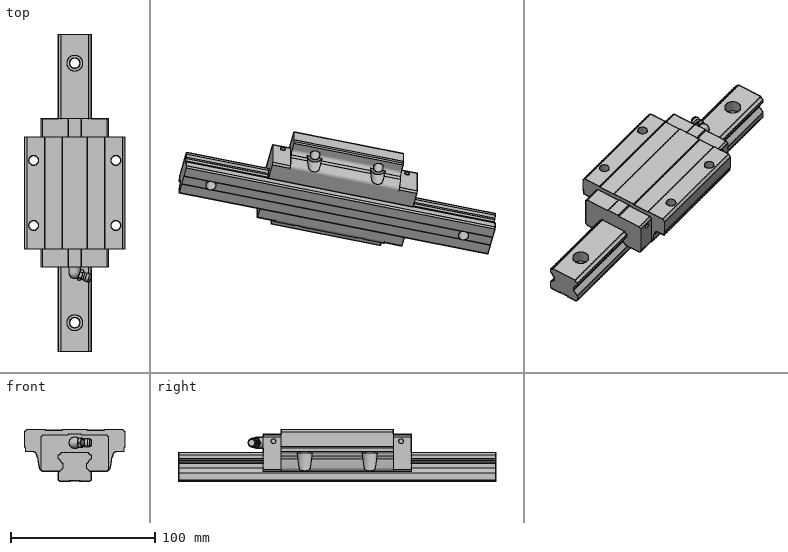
import cadquery as cq
import math


RAIL_LENGTH = 220.0
RAIL_HEIGHT = 20.2
RAIL_WIDTH = 23.0
RAIL_HALF_WIDTH = RAIL_WIDTH / 2
RAIL_TOP_COVE = 2.0
RAIL_NECK_WIDTH = 16.5
RAIL_NECK_HALF_WIDTH = RAIL_NECK_WIDTH / 2
RAIL_LIP_BOTTOM = 15.8
RAIL_RACE_TOP = (10.0, 14.5)
RAIL_RACE_BOTTOM = (9.5, 13.5)
RAIL_NECK_TOP = 12.3
RAIL_NECK_BOTTOM = 9.2
RAIL_BOTTOM_CHAMFER = 1.0
RAIL_BASE_TOP = RAIL_NECK_BOTTOM - (RAIL_HALF_WIDTH - RAIL_NECK_HALF_WIDTH)
RAIL_GROOVE_HALF_WIDTH = 3.3
RAIL_GROOVE_DEPTH = 0.5
RAIL_HOLE_DIAMETER = 7.0
RAIL_COUNTERBORE_DIAMETER = 11.0
RAIL_COUNTERBORE_DEPTH = 9.0
RAIL_HOLE_PITCH = 180.0

TOTAL_HEIGHT = 36.0
CARRIAGE_BOTTOM = 7.0
BLOCK_LENGTH = 77.9
BLOCK_HALF_WIDTH = 35.0
BLOCK_TOP_CHAMFER = 1.8
FLANGE_BOTTOM = 20.7
FLANGE_STEP_TOP = 24.2
FLANGE_STEP_BOTTOM = 23.0
FLANGE_STEP_WIDTH = 0.7
FLANGE_FILLET = 2.9
SKIRT_TOP_HALF_WIDTH = 26.5
SKIRT_HALF_WIDTH = 25.5
SKIRT_BAND_TOP = 15.6
SKIRT_BAND_BOTTOM = 14.5
SKIRT_LOWER_HALF_WIDTH = 24.6
SKIRT_LOWER_HEIGHT = 9.7
BOTTOM_FLAT_HALF_WIDTH = 21.5
TOP_RELIEF_DEPTH = 0.5
TOP_RELIEF_INNER = 8.4
TOP_RELIEF_OUTER = 21.0

FLANGE_HOLE_DIAMETER = 6.5
FLANGE_HOLE_PITCH_X = 57.0
FLANGE_HOLE_PITCH_Y = 45.0
SPOTFACE_DIAMETER = 11.0
SPOTFACE_TOP = 19.8

CAP_LENGTH = 12.5
CAP_HALF_WIDTH = 23.5
CAP_TOP = 32.1
CAP_CHAMFER = 1.3
CAP_RIDGE_HALF_WIDTH = 4.2
CAP_RIDGE_HEIGHT = 0.7
CAP_HOLE_DIAMETER = 3.3
CAP_HOLE_DEPTH = 2.2
CAP_HOLE_OFFSET = 5.3
CAP_HOLE_HEIGHT = 28.0

CAP_END = BLOCK_LENGTH / 2 + CAP_LENGTH

NIPPLE_HEIGHT = 26.8
BASE_DIAMETER = 8.0
NIPPLE_BASE_LENGTH = 4.0
NIPPLE_ANGLE = 20.0
HEX_START = 3.3
HEX_END = 5.5
NECK_END = 6.8
HEAD_START = 8.1
HEAD_END = 10.3
SPOUT_END = 11.7
HEX_ACROSS_FLATS = 6.5
NECK_DIAMETER = 4.8
HEAD_DIAMETER = 6.0
TIP_DIAMETER = 4.8
HEX_CHAMFER = 0.5


def extrude_along_y(profile, length, middle_y=0.0):
    """Extrude a closed XZ profile along Y, centred on middle_y."""
    return profile.extrude(length / 2, both=True).translate((0, middle_y, 0))


def rail_blank(length):
    """Rail section without the bottom groove, extruded along Y."""
    cove_mid = RAIL_TOP_COVE * math.sqrt(0.5)
    profile = (
        cq.Workplane("XZ")
        .moveTo(0, 0)
        .lineTo(RAIL_HALF_WIDTH - RAIL_BOTTOM_CHAMFER, 0)
        .lineTo(RAIL_HALF_WIDTH, RAIL_BOTTOM_CHAMFER)
        .lineTo(RAIL_HALF_WIDTH, RAIL_BASE_TOP)
        .lineTo(RAIL_NECK_HALF_WIDTH, RAIL_NECK_BOTTOM)
        .lineTo(RAIL_NECK_HALF_WIDTH, RAIL_NECK_TOP)
        .lineTo(*RAIL_RACE_BOTTOM)
        .lineTo(*RAIL_RACE_TOP)
        .lineTo(RAIL_HALF_WIDTH, RAIL_LIP_BOTTOM)
        .lineTo(RAIL_HALF_WIDTH, RAIL_HEIGHT - RAIL_TOP_COVE)
        .threePointArc(
            (RAIL_HALF_WIDTH - cove_mid, RAIL_HEIGHT - cove_mid),
            (RAIL_HALF_WIDTH - RAIL_TOP_COVE, RAIL_HEIGHT),
        )
        .lineTo(0, RAIL_HEIGHT)
        .mirrorY()
    )
    return extrude_along_y(profile, length)


def make_rail():
    groove = cq.Workplane("XY").box(
        2 * RAIL_GROOVE_HALF_WIDTH, RAIL_LENGTH, RAIL_GROOVE_DEPTH, centered=(True, True, False)
    )
    return (
        rail_blank(RAIL_LENGTH)
        .cut(groove)
        .faces(">Z")
        .workplane(origin=(0, 0, RAIL_HEIGHT))
        .rarray(2.2, RAIL_HOLE_PITCH, 1, 2)
        .cboreHole(RAIL_HOLE_DIAMETER, RAIL_COUNTERBORE_DIAMETER, RAIL_COUNTERBORE_DEPTH)
    )


def make_block():
    """Flanged middle part of the carriage."""
    step_half_width = BLOCK_HALF_WIDTH - FLANGE_STEP_WIDTH
    relief_floor = TOTAL_HEIGHT - TOP_RELIEF_DEPTH
    fillet_mid = FLANGE_FILLET * (1 - math.sqrt(0.5))
    profile = (
        cq.Workplane("XZ")
        .moveTo(0, CARRIAGE_BOTTOM)
        .lineTo(BOTTOM_FLAT_HALF_WIDTH, CARRIAGE_BOTTOM)
        .tangentArcPoint((SKIRT_LOWER_HALF_WIDTH, SKIRT_LOWER_HEIGHT), relative=False)
        .lineTo(SKIRT_HALF_WIDTH, SKIRT_BAND_BOTTOM)
        .lineTo(SKIRT_HALF_WIDTH, SKIRT_BAND_TOP)
        .lineTo(SKIRT_TOP_HALF_WIDTH, FLANGE_BOTTOM - FLANGE_FILLET)
        .threePointArc(
            (SKIRT_TOP_HALF_WIDTH + fillet_mid, FLANGE_BOTTOM - fillet_mid),
            (SKIRT_TOP_HALF_WIDTH + FLANGE_FILLET, FLANGE_BOTTOM),
        )
        .lineTo(step_half_width, FLANGE_BOTTOM)
        .lineTo(step_half_width, FLANGE_STEP_BOTTOM)
        .lineTo(BLOCK_HALF_WIDTH, FLANGE_STEP_TOP)
        .lineTo(BLOCK_HALF_WIDTH, TOTAL_HEIGHT - BLOCK_TOP_CHAMFER)
        .lineTo(BLOCK_HALF_WIDTH - BLOCK_TOP_CHAMFER, TOTAL_HEIGHT)
        .lineTo(TOP_RELIEF_OUTER, TOTAL_HEIGHT)
        .lineTo(TOP_RELIEF_OUTER - TOP_RELIEF_DEPTH, relief_floor)
        .lineTo(TOP_RELIEF_INNER + TOP_RELIEF_DEPTH, relief_floor)
        .lineTo(TOP_RELIEF_INNER, TOTAL_HEIGHT)
        .lineTo(0, TOTAL_HEIGHT)
        .mirrorY()
    )
    return extrude_along_y(profile, BLOCK_LENGTH)


def flange_hole_cutters(diameter, top):
    """Four vertical cylinders from below the carriage up to the given height."""
    return (
        cq.Workplane("XY")
        .rarray(FLANGE_HOLE_PITCH_X, FLANGE_HOLE_PITCH_Y, 2, 2)
        .circle(diameter / 2)
        .extrude(top)
    )


def make_end_cap(side):
    """End cap on the +Y (side = 1) or -Y (side = -1) end of the block."""
    profile = (
        cq.Workplane("XZ")
        .moveTo(0, CARRIAGE_BOTTOM)
        .lineTo(CAP_HALF_WIDTH - CAP_CHAMFER, CARRIAGE_BOTTOM)
        .lineTo(CAP_HALF_WIDTH, CARRIAGE_BOTTOM + CAP_CHAMFER)
        .lineTo(CAP_HALF_WIDTH, CAP_TOP - CAP_CHAMFER)
        .lineTo(CAP_HALF_WIDTH - CAP_CHAMFER, CAP_TOP)
        .lineTo(CAP_RIDGE_HALF_WIDTH + CAP_RIDGE_HEIGHT, CAP_TOP)
        .lineTo(CAP_RIDGE_HALF_WIDTH, CAP_TOP + CAP_RIDGE_HEIGHT)
        .lineTo(0, CAP_TOP + CAP_RIDGE_HEIGHT)
        .mirrorY()
    )
    cap = extrude_along_y(profile, CAP_LENGTH, side * (BLOCK_LENGTH + CAP_LENGTH) / 2)
    hole_y = side * (BLOCK_LENGTH / 2 + CAP_HOLE_OFFSET)
    for face_x, direction in ((-CAP_HALF_WIDTH, 1), (CAP_HALF_WIDTH, -1)):
        hole = (
            cq.Workplane("YZ", origin=(face_x, hole_y, CAP_HOLE_HEIGHT))
            .circle(CAP_HOLE_DIAMETER / 2)
            .extrude(direction * CAP_HOLE_DEPTH)
        )
        cap = cap.cut(hole)
    return cap


def make_carriage():
    block = (
        make_block()
        .cut(flange_hole_cutters(FLANGE_HOLE_DIAMETER, TOTAL_HEIGHT))
        .cut(flange_hole_cutters(SPOTFACE_DIAMETER, SPOTFACE_TOP))
    )
    for side in (-1, 1):
        block = block.union(make_end_cap(side))
    return block.cut(rail_blank(RAIL_LENGTH))


def make_nipple():
    """Round base with a ball end, and a tilted spout with a hexagon, neck and head."""
    ball_center = cq.Vector(0, -CAP_END - NIPPLE_BASE_LENGTH, NIPPLE_HEIGHT)
    base_radius = BASE_DIAMETER / 2
    ball_mid = base_radius * math.sqrt(0.5)
    base = (
        cq.Workplane("XY", origin=ball_center.toTuple())
        .moveTo(0, NIPPLE_BASE_LENGTH)
        .lineTo(base_radius, NIPPLE_BASE_LENGTH)
        .lineTo(base_radius, 0)
        .threePointArc((ball_mid, -ball_mid), (0, -base_radius))
        .close()
        .revolve(360, (0, 0, 0), (0, 1, 0))
    )

    tilt = math.radians(NIPPLE_ANGLE)
    spout_plane = cq.Plane(
        origin=ball_center.toTuple(),
        xDir=(math.sin(tilt), math.cos(tilt), 0),
        normal=(math.cos(tilt), -math.sin(tilt), 0),
    )
    turned = (
        cq.Workplane("XZ")
        .moveTo(0, 0)
        .lineTo(NECK_DIAMETER / 2, 0)
        .lineTo(NECK_DIAMETER / 2, NECK_END)
        .lineTo(HEAD_DIAMETER / 2, HEAD_START)
        .lineTo(HEAD_DIAMETER / 2, HEAD_END)
        .lineTo(TIP_DIAMETER / 2, SPOUT_END)
        .lineTo(0, SPOUT_END)
        .close()
        .revolve(360, (0, 0, 0), (0, 1, 0))
    )
    hex_across_corners = HEX_ACROSS_FLATS * 2 / math.sqrt(3)
    hexagon = (
        cq.Workplane("XY", origin=(0, 0, HEX_START))
        .polygon(6, hex_across_corners)
        .extrude(HEX_END - HEX_START)
    )
    corner_trim = (
        cq.Workplane("XY", origin=(0, 0, HEX_START))
        .circle(hex_across_corners / 2)
        .extrude(HEX_END - HEX_START)
        .faces(">Z")
        .chamfer(HEX_CHAMFER)
    )
    upright_spout = turned.union(hexagon.intersect(corner_trim))
    spout = cq.Workplane(upright_spout.val().moved(cq.Location(spout_plane)))
    return base.union(spout)


rail = make_rail()
carriage = make_carriage()
nipple = make_nipple()

result = cq.Compound.makeCompound([rail.val(), carriage.val(), nipple.val()])